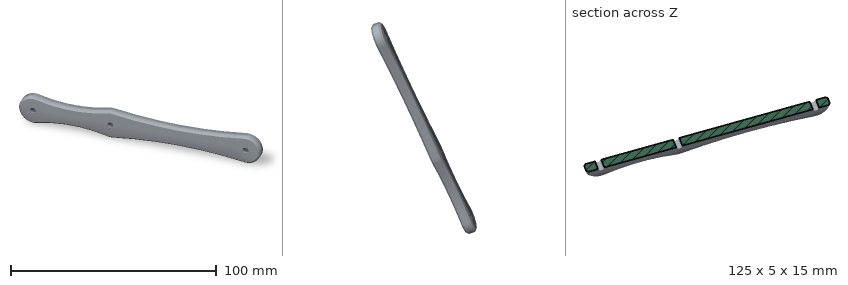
import cadquery as cq
import math

thickness = 5.0
lobe_radius = 7.5
waist_half_width = 5.0
hole_diameter = 3.0
edge_chamfer = 1.0
short_span = 40.0
long_span = 70.0

left_x = -(short_span + long_span) / 2
middle_x = left_x + short_span
right_x = middle_x + long_span
lobe_centres = [left_x, middle_x, right_x]


def tangent_offset(span):
    """Give the X and Z offsets from a lobe centre to where its waist arc begins."""
    half_span = span / 2
    waist_radius = (half_span**2 + waist_half_width**2 - lobe_radius**2) / (
        2 * (lobe_radius - waist_half_width)
    )
    angle = math.asin(half_span / (lobe_radius + waist_radius))
    return lobe_radius * math.sin(angle), lobe_radius * math.cos(angle)


def make_body():
    """Extrude the three-lobed outline and chamfer both face perimeters."""
    short_dx, short_z = tangent_offset(short_span)
    long_dx, long_z = tangent_offset(long_span)
    short_waist_x = (left_x + middle_x) / 2
    long_waist_x = (middle_x + right_x) / 2

    outline = (
        cq.Workplane("XZ")
        .moveTo(left_x + short_dx, short_z)
        .threePointArc((short_waist_x, waist_half_width), (middle_x - short_dx, short_z))
        .threePointArc((middle_x, lobe_radius), (middle_x + long_dx, long_z))
        .threePointArc((long_waist_x, waist_half_width), (right_x - long_dx, long_z))
        .threePointArc((right_x + lobe_radius, 0), (right_x - long_dx, -long_z))
        .threePointArc((long_waist_x, -waist_half_width), (middle_x + long_dx, -long_z))
        .threePointArc((middle_x, -lobe_radius), (middle_x - short_dx, -short_z))
        .threePointArc((short_waist_x, -waist_half_width), (left_x + short_dx, -short_z))
        .threePointArc((left_x - lobe_radius, 0), (left_x + short_dx, short_z))
        .close()
    )
    plate = outline.extrude(thickness / 2, both=True)
    return plate.faces("<Y or >Y").edges().chamfer(edge_chamfer)


def make_holes():
    """Make one through-hole cutter at each lobe centre."""
    return (
        cq.Workplane("XZ")
        .pushPoints([(x, 0) for x in lobe_centres])
        .circle(hole_diameter / 2)
        .extrude(thickness, both=True)
    )


result = make_body().cut(make_holes())